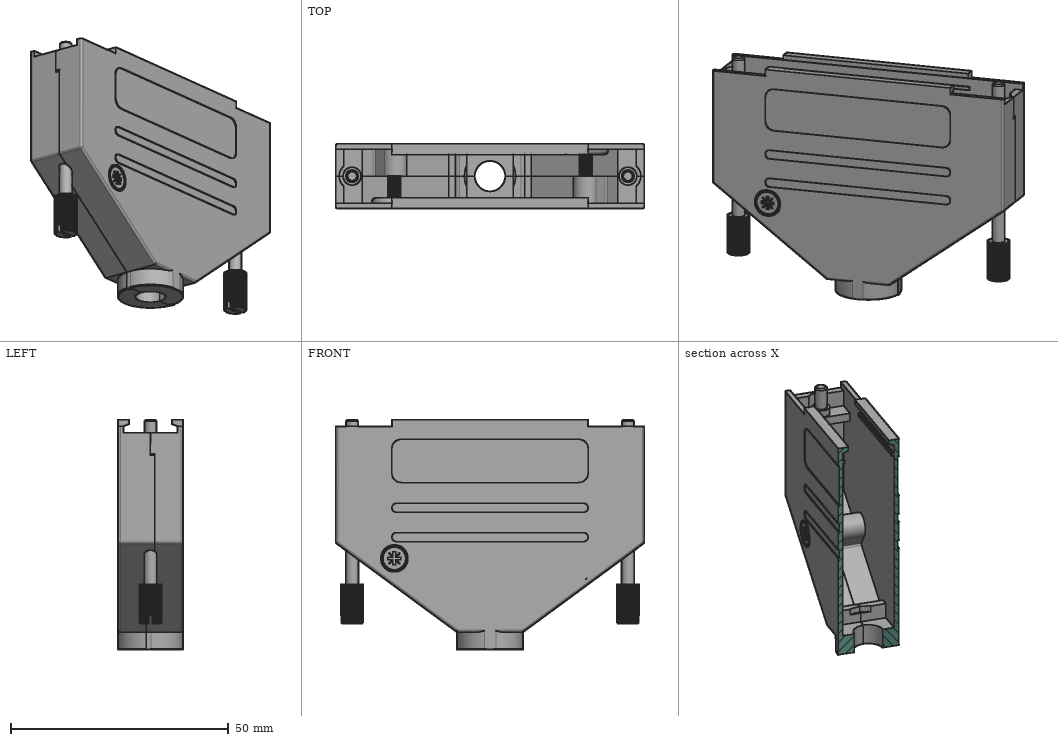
import cadquery as cq
import math

WIDTH = 71.0
DEPTH = 15.0
HEIGHT = 53.0
HALF_WIDTH = WIDTH / 2
HALF_DEPTH = DEPTH / 2
FACE_TOP = 51.4
SIDE_WALL_TOP = 50.0
CORNER_Z = 24.6
BODY_BOTTOM = 4.05
FACE_WALL = 1.3
SIDE_WALL = 1.85
EDGE_RADIUS = 0.5

NECK_RADIUS = 7.6
NECK_CHAMFER = 0.2
CABLE_HOLE_RADIUS = 3.5

FLOOR_HALF_WIDTH = 9.5
SEAT_BOTTOM = 4.8
SEAT_HALF_WIDTH = 5.3
SEAT_BORE_RADIUS = 5.9
SEAT_RIDGE_HALF_WIDTH = 7.95
SEAT_RIDGE_HEIGHT = 1.4
SEAT_RIDGE_FILLET = 0.85

CLIP_LENGTH = 45.15
CLIP_REACH = 2.55
CLIP_TIP_HEIGHT = 1.1
STOP_RIB_TOP = 49.5
STOP_RIB_HEIGHT = 0.8
STOP_RIB_REACH = 0.4

RECESS_DEPTH = 0.2
PANEL_Z = 43.45
PANEL_HEIGHT = 9.95
PANEL_RADIUS = 2.1
GROOVE_HEIGHT = 2.05
GROOVE_LEVELS = (32.65, 25.9)

LIP_REACH = 1.0
LIP_THICKNESS = 0.85
LIP_TOP = 44.8
LIP_END_GAP = 0.35

JACK_X = 31.75
JACK_RADIUS = 1.5
JACK_TIP_RADIUS = 1.4
JACK_TIP_CHAMFER = 0.35
KNOB_RADIUS = 2.6
KNOB_BOTTOM = 6.0
KNOB_LENGTH = 9.1
KNOB_CHAMFER = 0.3
KNURL_COUNT = 36
KNURL_DEPTH = 0.2
DRIVER_SLOT_WIDTH = 0.85
DRIVER_SLOT_DEPTH = 1.85
SHELF_INNER_X = 29.4
SHELF_TOP = 46.15
SHELF_THICKNESS = 2.0
RING_RADIUS = 2.05
RING_HEIGHT = 1.6
RING_POCKET_RADIUS = 3.0

SCREW_X = -22.0
SCREW_Z = 21.0
SCREW_HEAD_RADIUS = 2.9
SCREW_HEAD_THICKNESS = 1.7
SCREW_HEAD_CHAMFER = 0.3
HEAD_POCKET_RADIUS = 3.1
HEAD_BOSS_RADIUS = 5.25
HEAD_BOSS_FILLET = 1.15
THREAD_RADIUS = 1.5
THREAD_ROOT_RADIUS = 1.3
THREAD_PITCH = 0.35
THREAD_TURNS = 31
THREAD_BOSS_RADIUS = 2.9
BOSS_FOOT_FILLET = 0.4
CROSS_LENGTH = 3.0
CROSS_WIDTH = 0.65
CROSS_DEPTH = 1.0
CROSS_MARK_LENGTH = 3.4
CROSS_MARK_WIDTH = 0.15
CROSS_MARK_DEPTH = 0.15

INNER_Y = HALF_DEPTH - FACE_WALL
INNER_X = HALF_WIDTH - SIDE_WALL
SLOPE = math.atan2(CORNER_Z - BODY_BOTTOM, HALF_WIDTH - NECK_RADIUS)
SLOPE_WALL_RISE = FACE_WALL / math.cos(SLOPE)


def slope_floor(x):
    """Height of the inner sloping wall at distance x from the middle."""
    return BODY_BOTTOM + (x - NECK_RADIUS) * math.tan(SLOPE) + SLOPE_WALL_RISE


FLOOR_Z = slope_floor(FLOOR_HALF_WIDTH)
RIDGE_TOP = FLOOR_Z + SEAT_RIDGE_HEIGHT
HEAD_SEAT_Y = SCREW_HEAD_THICKNESS - HALF_DEPTH
HEAD_BOSS_Y = 2 * FACE_WALL - HALF_DEPTH
THREAD_END_Y = HEAD_SEAT_Y + THREAD_TURNS * THREAD_PITCH
ROOT_Y = -INNER_Y - FACE_WALL / 2


def box(x0, x1, y0, y1, z0, z1):
    return cq.Workplane("XY").box(x1 - x0, y1 - y0, z1 - z0, centered=False).translate((x0, y0, z0))


def cylinder_z(x, radius, z0, z1):
    return cq.Workplane("XY", origin=(x, 0, z0)).circle(radius).extrude(z1 - z0)


def cylinder_y(x, z, radius, y0, y1):
    return cq.Workplane("XZ", origin=(x, y0, z)).circle(radius).extrude(y0 - y1)


def outline(right_side, y):
    """Closed outline at depth y, made of right_side (listed downwards) and its mirror image."""
    left_side = [(-x, z) for x, z in reversed(right_side)]
    return cq.Workplane("XZ", origin=(0, y, 0)).polyline(right_side + left_side).close()


def prism(right_side, y0, y1):
    return outline(right_side, y0).extrude(y0 - y1)


def turned_over(body):
    """The same body as it sits on the other half, half a turn about Z."""
    return body.rotate((0, 0, 0), (0, 0, 1), 180)


def outer_body(y0, y1):
    right_side = [(HALF_WIDTH, FACE_TOP), (HALF_WIDTH, CORNER_Z), (NECK_RADIUS, BODY_BOTTOM)]
    corner = cq.selectors.BoxSelector(
        (-WIDTH, -DEPTH, CORNER_Z - EDGE_RADIUS), (WIDTH, DEPTH, CORNER_Z + EDGE_RADIUS)
    )
    return prism(right_side, y0, y1).edges("|Y").edges(corner).fillet(EDGE_RADIUS)


def body_block():
    block = outer_body(-HALF_DEPTH, 0).faces("<Y").edges("not >Z").fillet(EDGE_RADIUS)
    side_tops = box(-HALF_WIDTH, HALF_WIDTH, -INNER_Y, 0, SIDE_WALL_TOP, FACE_TOP)
    return block.cut(side_tops)


def neck():
    post = cylinder_z(0, NECK_RADIUS, 0, FLOOR_Z).faces("<Z").edges().chamfer(NECK_CHAMFER)
    front_half = box(-HALF_WIDTH, HALF_WIDTH, -HALF_DEPTH, 0, 0, FLOOR_Z)
    return post.intersect(front_half)


def cavity():
    right_side = [
        (INNER_X, HEIGHT),
        (INNER_X, slope_floor(INNER_X)),
        (FLOOR_HALF_WIDTH, FLOOR_Z),
    ]
    return prism(right_side, -INNER_Y, 0)


def seat_ridges():
    ridge = box(-SEAT_RIDGE_HALF_WIDTH, SEAT_RIDGE_HALF_WIDTH, -HALF_DEPTH, 0, BODY_BOTTOM, RIDGE_TOP)
    ridge = ridge.edges("|Y and >Z").fillet(SEAT_RIDGE_FILLET)
    return ridge.intersect(box(-HALF_WIDTH, HALF_WIDTH, ROOT_Y, 0, FLOOR_Z, RIDGE_TOP))


def cable_passage():
    slot = box(-SEAT_HALF_WIDTH, SEAT_HALF_WIDTH, -INNER_Y, 0, SEAT_BOTTOM, RIDGE_TOP)
    bore = cylinder_z(0, SEAT_BORE_RADIUS, FLOOR_Z, RIDGE_TOP)
    return slot.union(bore).union(cylinder_z(0, CABLE_HOLE_RADIUS, 0, SEAT_BOTTOM))


def clip_and_stop_rib():
    hook = [
        (-HALF_DEPTH, HEIGHT),
        (-HALF_DEPTH + CLIP_REACH, HEIGHT),
        (-HALF_DEPTH + CLIP_REACH, HEIGHT - CLIP_TIP_HEIGHT),
        (-INNER_Y, FACE_TOP),
        (-HALF_DEPTH, FACE_TOP),
    ]
    clip = cq.Workplane("YZ").polyline(hook).close().extrude(CLIP_LENGTH / 2, both=True)
    stop_rib = box(
        -CLIP_LENGTH / 2, CLIP_LENGTH / 2, ROOT_Y, -INNER_Y + STOP_RIB_REACH,
        STOP_RIB_TOP - STOP_RIB_HEIGHT, STOP_RIB_TOP,
    )
    return clip.union(stop_rib)


def jack_shelf(side):
    inner, outer = sorted((side * SHELF_INNER_X, side * (INNER_X + SIDE_WALL / 2)))
    return box(inner, outer, ROOT_Y, 0, SHELF_TOP - SHELF_THICKNESS, SHELF_TOP)


def head_boss():
    """Raised pad inside the face that carries the screw head."""
    pad = cylinder_y(SCREW_X, SCREW_Z, HEAD_BOSS_RADIUS, -INNER_Y, HEAD_BOSS_Y)
    pad = pad.faces(">Y").edges().fillet(HEAD_BOSS_FILLET)
    root = cylinder_y(SCREW_X, SCREW_Z, HEAD_BOSS_RADIUS, ROOT_Y, -INNER_Y)
    return pad.union(root).intersect(outer_body(-HALF_DEPTH, 0))


def thread_boss():
    """Round boss for the screw from the other half, with a web square to the sloping wall."""
    post = cylinder_y(-SCREW_X, SCREW_Z, THREAD_BOSS_RADIUS, ROOT_Y, 0)
    web = box(-THREAD_BOSS_RADIUS, THREAD_BOSS_RADIUS, ROOT_Y, 0, -HEAD_BOSS_RADIUS, 0)
    web = web.rotate((0, 0, 0), (0, 1, 0), -math.degrees(SLOPE)).translate((-SCREW_X, 0, SCREW_Z))
    return post.union(web).intersect(outer_body(-HALF_DEPTH, 0))


def boss_foot_edges():
    """Selector for the two edges where the thread boss's web meets the sloping wall."""
    drop = (SCREW_Z - slope_floor(-SCREW_X)) * math.cos(SLOPE)
    foot_x = -SCREW_X + drop * math.sin(SLOPE)
    foot_z = SCREW_Z - drop * math.cos(SLOPE)
    selectors = []
    for side in (-THREAD_BOSS_RADIUS, THREAD_BOSS_RADIUS):
        x = foot_x + side * math.cos(SLOPE)
        z = foot_z + side * math.sin(SLOPE)
        reach = BOSS_FOOT_FILLET / 2
        selectors.append(
            cq.selectors.BoxSelector((x - reach, -HALF_DEPTH, z - reach), (x + reach, -reach, z + reach))
        )
    return selectors[0] + selectors[1]


def face_recesses():
    depth_y = RECESS_DEPTH - HALF_DEPTH
    panel = box(
        -CLIP_LENGTH / 2, CLIP_LENGTH / 2, -HALF_DEPTH, depth_y,
        PANEL_Z - PANEL_HEIGHT / 2, PANEL_Z + PANEL_HEIGHT / 2,
    )
    recesses = panel.edges("|Y").fillet(PANEL_RADIUS)
    for level in GROOVE_LEVELS:
        groove = cq.Workplane("XZ", origin=(0, depth_y, level)).slot2D(CLIP_LENGTH, GROOVE_HEIGHT)
        recesses = recesses.union(groove.extrude(RECESS_DEPTH))
    return recesses


def wall_lip(side, upper, clearance=0.0):
    """Lip along the outer half of the wall, reaching from the parting plane towards +Y."""
    right_side = [
        (HALF_WIDTH, FACE_TOP),
        (HALF_WIDTH, CORNER_Z),
        (NECK_RADIUS, BODY_BOTTOM),
        (NECK_RADIUS, 0),
    ]
    core = outline(right_side, 0).offset2D(-LIP_THICKNESS).extrude(-LIP_REACH)
    neck_lips = box(-NECK_RADIUS, NECK_RADIUS, 0, LIP_REACH, 0, BODY_BOTTOM)
    band = outer_body(0, LIP_REACH).union(neck_lips).cut(core)
    if upper:
        near, far, top = JACK_X, HALF_WIDTH, LIP_TOP + clearance
    else:
        near, far, top = NECK_RADIUS - LIP_THICKNESS, JACK_X, CORNER_Z
    x0, x1 = sorted((side * near, side * far))
    return band.intersect(box(x0, x1, 0, LIP_REACH, 0, top))


def housing_half():
    half = body_block().union(neck()).cut(cavity())
    half = half.union(seat_ridges()).cut(cable_passage())
    half = half.union(clip_and_stop_rib()).union(head_boss()).union(thread_boss())
    half = half.edges("|Y").edges(boss_foot_edges()).fillet(BOSS_FOOT_FILLET)
    for side in (-1, 1):
        half = half.union(jack_shelf(side))
    half = half.union(wall_lip(1, True)).union(wall_lip(-1, False))
    half = half.cut(turned_over(wall_lip(1, True, LIP_END_GAP))).cut(turned_over(wall_lip(-1, False)))
    for side in (-1, 1):
        half = half.cut(cylinder_z(side * JACK_X, JACK_RADIUS, 0, SHELF_TOP))
        half = half.cut(cylinder_z(side * JACK_X, RING_POCKET_RADIUS, SHELF_TOP, FACE_TOP))
    half = half.cut(cylinder_y(SCREW_X, SCREW_Z, HEAD_POCKET_RADIUS, -HALF_DEPTH, HEAD_SEAT_Y))
    half = half.cut(cylinder_y(SCREW_X, SCREW_Z, THREAD_RADIUS, HEAD_SEAT_Y, 0))
    half = half.cut(cylinder_y(-SCREW_X, SCREW_Z, THREAD_RADIUS, -THREAD_END_Y, 0))
    return half.cut(face_recesses())


def jackscrew(x):
    knob_top = KNOB_BOTTOM + KNOB_LENGTH
    knob = cylinder_z(x, KNOB_RADIUS, KNOB_BOTTOM, knob_top).faces("<Z").edges().chamfer(KNOB_CHAMFER)
    notches = (
        cq.Workplane("XY", origin=(x, 0, KNOB_BOTTOM))
        .polarArray(KNOB_RADIUS, 0, 360, KNURL_COUNT)
        .polygon(4, 2 * KNURL_DEPTH)
        .extrude(KNOB_LENGTH)
    )
    slot = box(
        x - KNOB_RADIUS, x + KNOB_RADIUS, -DRIVER_SLOT_WIDTH / 2, DRIVER_SLOT_WIDTH / 2,
        KNOB_BOTTOM, KNOB_BOTTOM + DRIVER_SLOT_DEPTH,
    )
    shaft = cylinder_z(x, JACK_RADIUS, knob_top, SHELF_TOP)
    tip = cylinder_z(x, JACK_TIP_RADIUS, SHELF_TOP, HEIGHT).faces(">Z").edges().chamfer(JACK_TIP_CHAMFER)
    return knob.cut(notches).cut(slot).union(shaft).union(tip)


def retaining_ring(x):
    ring = cylinder_z(x, RING_RADIUS, SHELF_TOP, SHELF_TOP + RING_HEIGHT)
    return ring.cut(cylinder_z(x, JACK_TIP_RADIUS, SHELF_TOP, SHELF_TOP + RING_HEIGHT))


def head_cut(length, width, depth, angle):
    """Bar-shaped cut across the screw head, turned by angle about the screw's axis."""
    bar = box(-length / 2, length / 2, -HALF_DEPTH, -HALF_DEPTH + depth, -width / 2, width / 2)
    return bar.rotate((0, 0, 0), (0, 1, 0), angle)


def cover_screw():
    profile = [
        (0, -HALF_DEPTH),
        (SCREW_HEAD_RADIUS - SCREW_HEAD_CHAMFER, -HALF_DEPTH),
        (SCREW_HEAD_RADIUS, -HALF_DEPTH + SCREW_HEAD_CHAMFER),
        (SCREW_HEAD_RADIUS, HEAD_SEAT_Y),
    ]
    for turn in range(THREAD_TURNS):
        start = HEAD_SEAT_Y + turn * THREAD_PITCH
        profile.append((THREAD_ROOT_RADIUS, start))
        profile.append((THREAD_RADIUS, start + THREAD_PITCH / 2))
    profile += [(THREAD_ROOT_RADIUS, THREAD_END_Y), (0, THREAD_END_Y)]
    screw = cq.Workplane("XY").polyline(profile).close().revolve(360, (0, 0, 0), (0, 1, 0))
    for angle in (0, 90):
        screw = screw.cut(head_cut(CROSS_LENGTH, CROSS_WIDTH, CROSS_DEPTH, angle))
        screw = screw.cut(head_cut(CROSS_MARK_LENGTH, CROSS_MARK_WIDTH, CROSS_MARK_DEPTH, angle + 45))
    return screw.translate((SCREW_X, 0, SCREW_Z))


front_half = housing_half()
front_screw = cover_screw()
halves = [front_half.val(), turned_over(front_half).val()]
cover_screws = [front_screw.val(), turned_over(front_screw).val()]
jackscrews = [jackscrew(side * JACK_X).val() for side in (-1, 1)]
rings = [retaining_ring(side * JACK_X).val() for side in (-1, 1)]

result = cq.Compound.makeCompound([*halves, *cover_screws, *jackscrews, *rings])